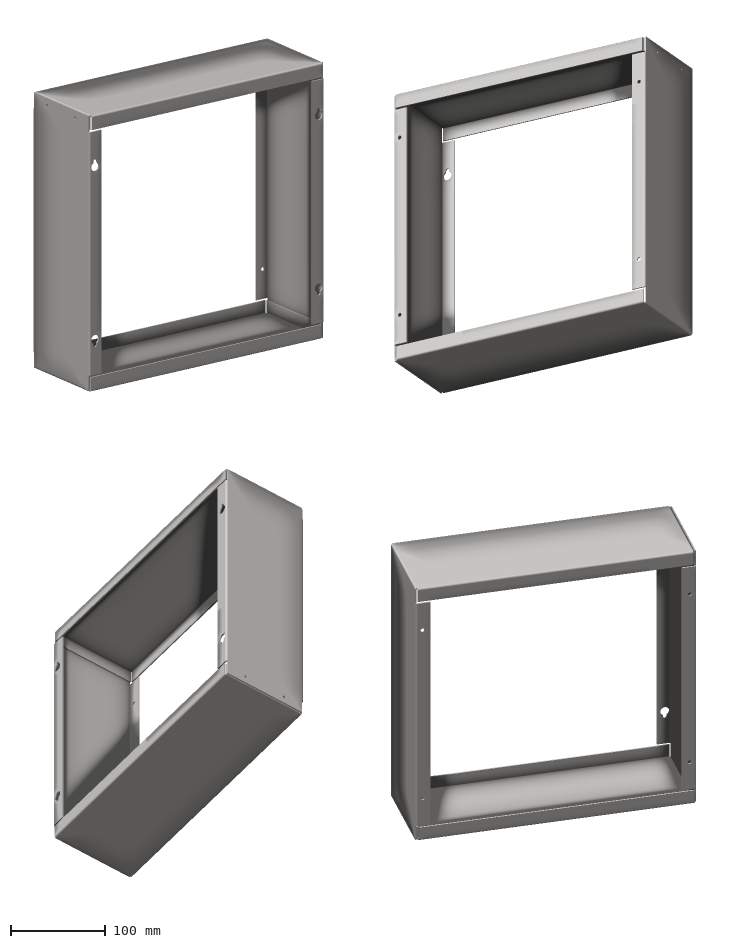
import cadquery as cq

DEPTH = 101.7
SIDE = 306.5

SHEET = 1.5
BEND = 2.1
INNER_BEND = BEND - SHEET

FLANGE = 16.0
WALL_FLANGE_INSET = 18.0

SCREW_INSET = 8.5
SCREW_SPACING = 51.0
SCREW_DIAMETER = 3.7
MOUNT_INSET = 7.5
MOUNT_SPACING = 204.0
MOUNT_DIAMETER = 4.3
KEYHOLE_HEAD_DIAMETER = 9.8
KEYHOLE_SLOT_WIDTH = 4.3
KEYHOLE_TRAVEL = 6.0

HALF_DEPTH = DEPTH / 2
HALF_SIDE = SIDE / 2
PLATE_WIDTH = DEPTH - 2 * BEND
TAB_FACE = HALF_SIDE - SHEET
DRILL = 2 * SHEET


def folded_plate():
    """Wall at -Y, floor at -Z and upright screw tab at +Y, as one bent strip."""
    outline = (
        cq.Workplane("YZ")
        .moveTo(-HALF_SIDE, HALF_SIDE)
        .lineTo(-HALF_SIDE, -HALF_SIDE + BEND)
        .radiusArc((-HALF_SIDE + BEND, -HALF_SIDE), -BEND)
        .lineTo(TAB_FACE - BEND, -HALF_SIDE)
        .radiusArc((TAB_FACE, -HALF_SIDE + BEND), -BEND)
        .lineTo(TAB_FACE, -HALF_SIDE + FLANGE)
        .lineTo(TAB_FACE - SHEET, -HALF_SIDE + FLANGE)
        .lineTo(TAB_FACE - SHEET, -HALF_SIDE + BEND)
        .radiusArc((TAB_FACE - BEND, -HALF_SIDE + SHEET), INNER_BEND)
        .lineTo(-HALF_SIDE + BEND, -HALF_SIDE + SHEET)
        .radiusArc((-HALF_SIDE + SHEET, -HALF_SIDE + BEND), INNER_BEND)
        .lineTo(-HALF_SIDE + SHEET, HALF_SIDE)
        .close()
    )
    return outline.extrude(PLATE_WIDTH / 2, both=True)


def flange_profile(plane):
    """Front bend and flange at the -X edge; the plane's second axis points into the frame."""
    return (
        cq.Workplane(plane)
        .moveTo(-HALF_DEPTH + BEND, -HALF_SIDE)
        .radiusArc((-HALF_DEPTH, -HALF_SIDE + BEND), BEND)
        .lineTo(-HALF_DEPTH, -HALF_SIDE + FLANGE)
        .lineTo(-HALF_DEPTH + SHEET, -HALF_SIDE + FLANGE)
        .lineTo(-HALF_DEPTH + SHEET, -HALF_SIDE + BEND)
        .radiusArc((-HALF_DEPTH + BEND, -HALF_SIDE + SHEET), -INNER_BEND)
        .close()
    )


def wall_flange():
    """Front flange of the wall, clear of the floor and top flanges."""
    return flange_profile("XY").extrude(HALF_SIDE - WALL_FLANGE_INSET, both=True)


def floor_flange():
    """Front flange of the floor, between its two bends."""
    start = -HALF_SIDE + BEND
    end = TAB_FACE - BEND
    return flange_profile("XZ").extrude(start - end).translate((0, start, 0))


def screw_holes():
    """Two holes through the wall near its top edge."""
    x = SCREW_SPACING / 2
    z = HALF_SIDE - SCREW_INSET
    return (
        cq.Workplane("XZ", origin=(0, -HALF_SIDE, 0))
        .pushPoints([(-x, z), (x, z)])
        .circle(SCREW_DIAMETER / 2)
        .extrude(DRILL, both=True)
    )


def mount_points(half_spacing):
    """Two centres (Y, Z) on the wall flange, the same distance above and below the middle."""
    y = -HALF_SIDE + MOUNT_INSET
    return [(y, -half_spacing), (y, half_spacing)]


def mount_holes():
    """Plain holes through the front flange."""
    return (
        cq.Workplane("YZ", origin=(-HALF_DEPTH, 0, 0))
        .pushPoints(mount_points(MOUNT_SPACING / 2))
        .circle(MOUNT_DIAMETER / 2)
        .extrude(DRILL, both=True)
    )


def keyholes():
    """Keyholes through the back flange: slots ending opposite the front holes, heads nearer the middle."""
    back = cq.Workplane("YZ", origin=(HALF_DEPTH, 0, 0))
    heads = (
        back.pushPoints(mount_points(MOUNT_SPACING / 2 - KEYHOLE_TRAVEL))
        .circle(KEYHOLE_HEAD_DIAMETER / 2)
        .extrude(DRILL, both=True)
    )
    slots = (
        back.pushPoints(mount_points((MOUNT_SPACING - KEYHOLE_TRAVEL) / 2))
        .slot2D(KEYHOLE_TRAVEL + KEYHOLE_SLOT_WIDTH, KEYHOLE_SLOT_WIDTH, 90)
        .extrude(DRILL, both=True)
    )
    return heads.union(slots)


def channel():
    """Folded L of wall and floor, flanged at front and back."""
    body = folded_plate()
    for flange in (wall_flange(), floor_flange()):
        body = body.union(flange).union(flange.mirror("YZ"))
    return body.cut(screw_holes()).cut(mount_holes()).cut(keyholes())


channels = []
for turn in (0, 180):
    channels.append(channel().rotate((0, 0, 0), (1, 0, 0), turn).val())

result = cq.Compound.makeCompound(channels)